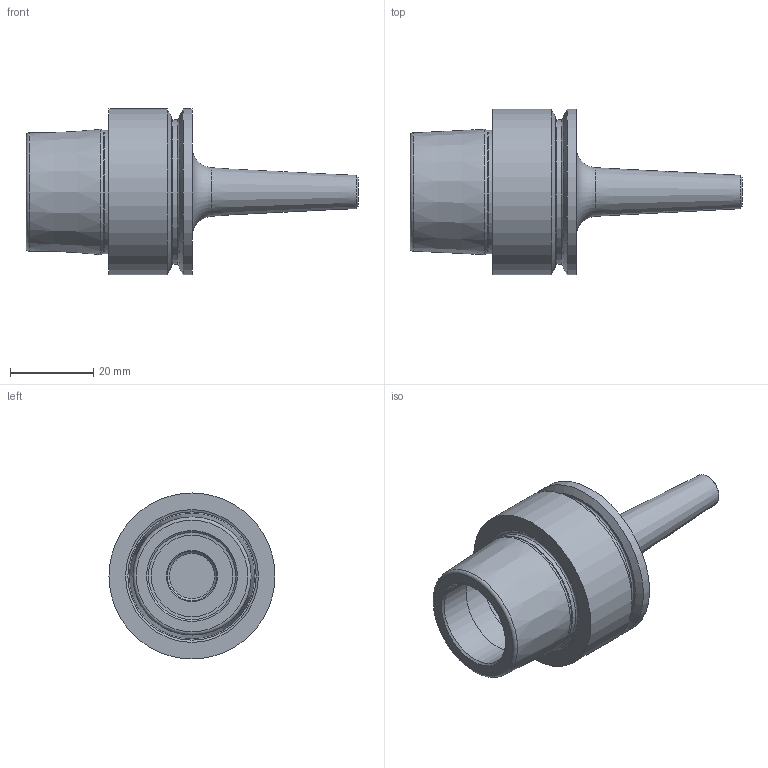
import cadquery as cq
import math


shank_length = 20.0
gauge_radius = 15.0
gauge_distance = 4.0
taper_slope = 1 / 20
shank_round = 0.75
taper_end_distance = 2.1

neck_radius = 14.88
neck_ramp_angle = math.radians(15)
neck_blend_radius = 1.0
face_ramp_outer_radius = 16.0
face_ramp_angle = math.radians(25)
undercut_fillet = 0.4

flange_radius = 20.0
flange_width = 20.0
groove_radius = 17.4
groove_start = 15.0
groove_end = 16.9
groove_corner_radius = 0.4
groove_left_bevel = 1.0
groove_right_bevel = 1.0
groove_bevel_depth = 1.75

nose_length = 40.0
nose_tip_radius = 4.0
nose_half_angle = math.radians(3)
nose_root_fillet = 5.0
nose_tip_chamfer = 0.4

mouth_radius = 10.5
mouth_chamfer = 0.45
mouth_length = 8.0
cavity_radius = 12.75
clamping_face_angle = math.radians(60)
cavity_depth = 18.7
cavity_floor_fillet = 2.95

hole_radius = 5.95
hole_chamfer = 0.2
hole_depth = 8.0
hole_end_bevel = 0.5


def taper_radius(x):
    """Shank taper radius at axial position x."""
    return gauge_radius + taper_slope * (x + gauge_distance)


def nose_radius(x):
    """Nose cone radius at axial position x."""
    return nose_tip_radius + (flange_width + nose_length - x) * math.tan(nose_half_angle)


def revolve_about_x(profile):
    return profile.close().revolve(360, (0, 0, 0), (1, 0, 0))


def draw_shank(profile):
    """Open end, taper and the ramped undercut that runs into the shoulder face."""
    taper_start = -shank_length + shank_round
    taper_end = -taper_end_distance
    taper_end_radius = taper_radius(taper_end)

    neck_start = taper_end + (taper_end_radius - neck_radius) / math.tan(neck_ramp_angle)
    blend_length = neck_blend_radius * math.tan(neck_ramp_angle / 2)
    blend_start = neck_start - blend_length * math.cos(neck_ramp_angle)
    blend_start_radius = neck_radius + blend_length * math.sin(neck_ramp_angle)

    fillet_end_radius = neck_radius + undercut_fillet * (1 + math.sin(face_ramp_angle))
    fillet_end = (face_ramp_outer_radius - fillet_end_radius) * math.tan(face_ramp_angle)
    fillet_start = fillet_end - undercut_fillet * math.cos(face_ramp_angle)

    return (
        profile.moveTo(-shank_length, 0)
        .lineTo(-shank_length, taper_radius(-shank_length) - shank_round)
        .radiusArc((taper_start, taper_radius(taper_start)), shank_round)
        .lineTo(taper_end, taper_end_radius)
        .lineTo(blend_start, blend_start_radius)
        .radiusArc((neck_start + blend_length, neck_radius), -neck_blend_radius)
        .lineTo(fillet_start, neck_radius)
        .radiusArc((fillet_end, fillet_end_radius), -undercut_fillet)
        .lineTo(0, face_ramp_outer_radius)
    )


def draw_flange(profile):
    """Flange rim with its bevelled gripper groove."""
    wall_radius = flange_radius - groove_bevel_depth
    corner = groove_corner_radius
    return (
        profile.lineTo(0, flange_radius)
        .lineTo(groove_start - groove_left_bevel, flange_radius)
        .lineTo(groove_start, wall_radius)
        .lineTo(groove_start, groove_radius + corner)
        .radiusArc((groove_start + corner, groove_radius), -corner)
        .lineTo(groove_end - corner, groove_radius)
        .radiusArc((groove_end, groove_radius + corner), -corner)
        .lineTo(groove_end, wall_radius)
        .lineTo(groove_end + groove_right_bevel, flange_radius)
        .lineTo(flange_width, flange_radius)
    )


def draw_nose(profile):
    """Root fillet tangent to the flange face and cone, then the chamfered tip."""
    fillet_end = flange_width + nose_root_fillet * (1 - math.sin(nose_half_angle))
    fillet_end_radius = nose_radius(fillet_end)
    fillet_start_radius = fillet_end_radius + nose_root_fillet * math.cos(nose_half_angle)
    tip = flange_width + nose_length
    chamfer_start = tip - nose_tip_chamfer
    return (
        profile.lineTo(flange_width, fillet_start_radius)
        .radiusArc((fillet_end, fillet_end_radius), -nose_root_fillet)
        .lineTo(chamfer_start, nose_radius(chamfer_start))
        .lineTo(tip, nose_tip_radius - nose_tip_chamfer)
        .lineTo(tip, 0)
    )


def make_body():
    return revolve_about_x(draw_nose(draw_flange(draw_shank(cq.Workplane("XY")))))


def make_cavity():
    """Chamfered mouth, conical clamping face, chamber with rounded floor and blind hole."""
    mouth = -shank_length
    clamping_face = mouth + mouth_length
    cone_length = (cavity_radius - mouth_radius) / math.tan(clamping_face_angle)
    floor = mouth + cavity_depth
    hole_end = floor + hole_depth
    profile = (
        cq.Workplane("XY")
        .moveTo(mouth, 0)
        .lineTo(mouth, mouth_radius + mouth_chamfer)
        .lineTo(mouth + mouth_chamfer, mouth_radius)
        .lineTo(clamping_face, mouth_radius)
        .lineTo(clamping_face + cone_length, cavity_radius)
        .lineTo(floor - cavity_floor_fillet, cavity_radius)
        .radiusArc((floor, cavity_radius - cavity_floor_fillet), cavity_floor_fillet)
        .lineTo(floor, hole_radius + hole_chamfer)
        .lineTo(floor + hole_chamfer, hole_radius)
        .lineTo(hole_end - hole_end_bevel, hole_radius)
        .lineTo(hole_end, hole_radius - hole_end_bevel)
        .lineTo(hole_end, 0)
    )
    return revolve_about_x(profile)


result = make_body().cut(make_cavity())